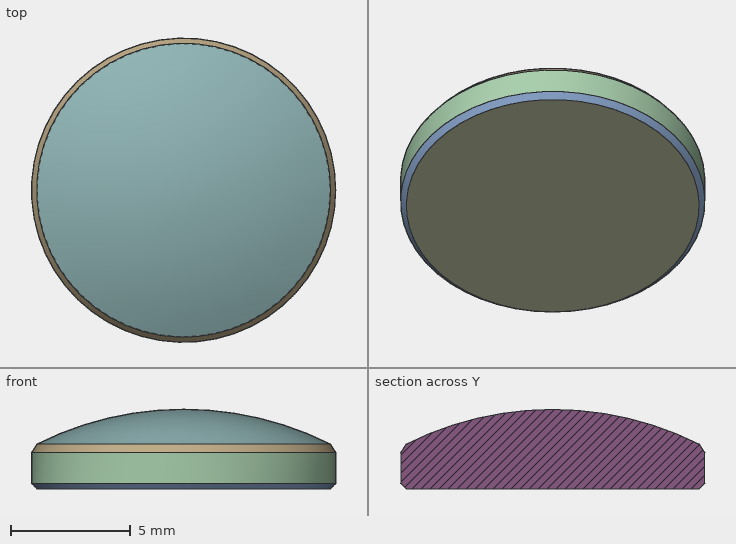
import cadquery as cq

rim_radius = 6.35
total_height = 3.34
base_bevel = 0.24
top_bevel_width = 0.22
top_bevel_height = 0.34
crown_height = 1.46

crown_radius = rim_radius - top_bevel_width
crown_base_z = total_height - crown_height
sphere_radius = (crown_radius**2 + crown_height**2) / (2 * crown_height)

arc_mid_x = crown_radius / 2
sphere_center_z = total_height - sphere_radius
arc_mid_z = sphere_center_z + (sphere_radius**2 - arc_mid_x**2) ** 0.5

half_section = (
    cq.Workplane("XZ")
    .moveTo(0, 0)
    .lineTo(rim_radius - base_bevel, 0)
    .lineTo(rim_radius, base_bevel)
    .lineTo(rim_radius, crown_base_z - top_bevel_height)
    .lineTo(crown_radius, crown_base_z)
    .threePointArc((arc_mid_x, arc_mid_z), (0, total_height))
    .close()
)
result = half_section.revolve(360, (0, 0, 0), (0, 1, 0))